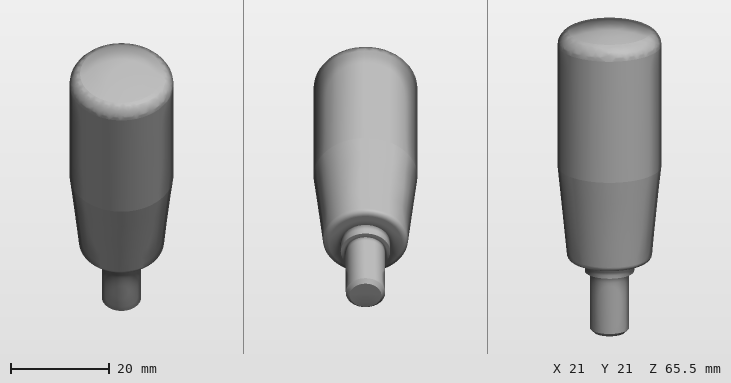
import cadquery as cq
import math

total_height = 65.5

stud_diameter = 8.0
stud_chamfer = 0.8
collar_diameter = 10.0
collar_base_z = 13.0

grip_diameter = 21.0
grip_base_diameter = 17.0
grip_base_z = 15.5
taper_top_z = 35.45
dome_radius = 28.8
top_fillet = 3.0
base_fillet = 1.2

grip_radius = grip_diameter / 2
grip_base_radius = grip_base_diameter / 2


def dome_height_at(radius):
    """Height of the spherical top at a distance from the axis."""
    drop = dome_radius - math.sqrt(dome_radius**2 - radius**2)
    return total_height - drop


def make_grip():
    """Grip revolved about Z, with its rims rounded."""
    middle_radius = grip_radius / 2
    outline = (
        cq.Workplane("XZ")
        .moveTo(0, grip_base_z)
        .lineTo(grip_base_radius, grip_base_z)
        .lineTo(grip_radius, taper_top_z)
        .lineTo(grip_radius, dome_height_at(grip_radius))
        .threePointArc((middle_radius, dome_height_at(middle_radius)), (0, total_height))
        .close()
    )
    grip = outline.revolve(360, (0, 0, 0), (0, 1, 0))
    grip = grip.faces(">Z").edges("%CIRCLE").fillet(top_fillet)
    return grip.faces("<Z").edges().fillet(base_fillet)


def make_stud():
    """Stud with a chamfered end, reaching up to the grip."""
    stud = cq.Workplane("XY").circle(stud_diameter / 2).extrude(grip_base_z)
    return stud.faces("<Z").chamfer(stud_chamfer)


def make_collar():
    """Short collar under the grip."""
    collar_height = grip_base_z - collar_base_z
    collar = cq.Workplane("XY").workplane(offset=collar_base_z)
    return collar.circle(collar_diameter / 2).extrude(collar_height)


result = make_grip().union(make_collar()).union(make_stud())